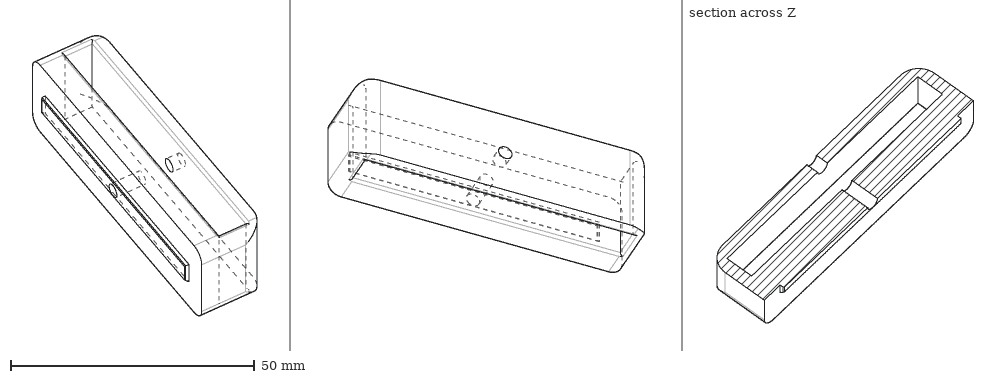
import cadquery as cq
import math

length = 66.0
depth = 15.6
height = 20.0
edge_radius = 3.0
back_radius = 5.0

end_wall = 3.0
back_wall = 3.0
front_wall = 6.0
rim_radius = 0.6
cut_overshoot = 1.0
slot_length = length - 2 * end_wall
slot_width = depth - front_wall - back_wall
slot_center_y = front_wall + slot_width / 2

rail_length = 56.0
rail_height = 1.0
rail_bottom_z = 7.4
rail_top_z = 12.6
rail_edge_chamfer = 0.2
rail_lead_in = 1.0

hole_diameter = 3.0


def make_body():
    """Intersect the rounded front outline with the rounded top outline."""
    block = cq.Workplane("XY").box(length, depth, height, centered=(True, False, False))
    front_outline = block.edges("|Y").fillet(edge_radius)
    top_outline = block.edges("|Z and >Y").fillet(back_radius)
    return front_outline.intersect(top_outline)


def flared_outline(workplane, half_width, arc_start, tip_width, tip):
    """Slot outline, symmetric about the origin, that flares at both ends along Z.

    Each flare is an arc of the rim radius from (half_width, arc_start) out to (tip_width, tip).
    """
    reach = height / 2 + cut_overshoot
    return (
        workplane.moveTo(half_width, -arc_start)
        .lineTo(half_width, arc_start)
        .radiusArc((tip_width, tip), rim_radius)
        .lineTo(tip_width, reach)
        .lineTo(-tip_width, reach)
        .lineTo(-tip_width, tip)
        .radiusArc((-half_width, arc_start), rim_radius)
        .lineTo(-half_width, -arc_start)
        .radiusArc((-tip_width, -tip), rim_radius)
        .lineTo(-tip_width, -reach)
        .lineTo(tip_width, -reach)
        .lineTo(tip_width, -tip)
        .radiusArc((half_width, -arc_start), rim_radius)
        .close()
    )


def make_slot():
    """Slot whose rims are rounded: mitred overlap of a flared length and a flared width."""
    width_flare = flared_outline(
        cq.Workplane("YZ", origin=(0, slot_center_y, height / 2)),
        slot_width / 2,
        height / 2 - rim_radius,
        slot_width / 2 + rim_radius,
        height / 2,
    ).extrude(length / 2, both=True)

    center_distance = edge_radius - rim_radius
    rise = math.sqrt(center_distance**2 - rim_radius**2)
    tangent_scale = edge_radius / center_distance
    edge_center_z = height / 2 - edge_radius
    length_flare = flared_outline(
        cq.Workplane("XZ", origin=(0, slot_center_y, height / 2)),
        slot_length / 2,
        edge_center_z + rise,
        slot_length / 2 + rim_radius * tangent_scale,
        edge_center_z + rise * tangent_scale,
    ).extrude(depth / 2, both=True)
    return width_flare.intersect(length_flare)


def make_rail():
    """Rail with chamfered outer edges and a wider slope along its lower edge."""
    rail = (
        cq.Workplane("XY")
        .box(rail_length, rail_height, rail_top_z - rail_bottom_z, centered=(True, False, False))
        .translate((0, -rail_height, rail_bottom_z))
    )
    rail = rail.faces("<Y").edges("not <Z").chamfer(rail_edge_chamfer)
    lead_in_cut = (
        cq.Workplane("YZ")
        .moveTo(0, rail_bottom_z)
        .lineTo(-rail_height, rail_bottom_z)
        .lineTo(-rail_height, rail_bottom_z + rail_lead_in)
        .close()
        .extrude(rail_length / 2, both=True)
    )
    return rail.cut(lead_in_cut)


def make_cross_hole():
    """Round hole along Y at mid height, through the rail and both walls."""
    hole = cq.Workplane("XZ", origin=(0, depth, height / 2)).circle(hole_diameter / 2)
    return hole.extrude(depth + rail_height)


result = make_body().cut(make_slot()).union(make_rail()).cut(make_cross_hole())